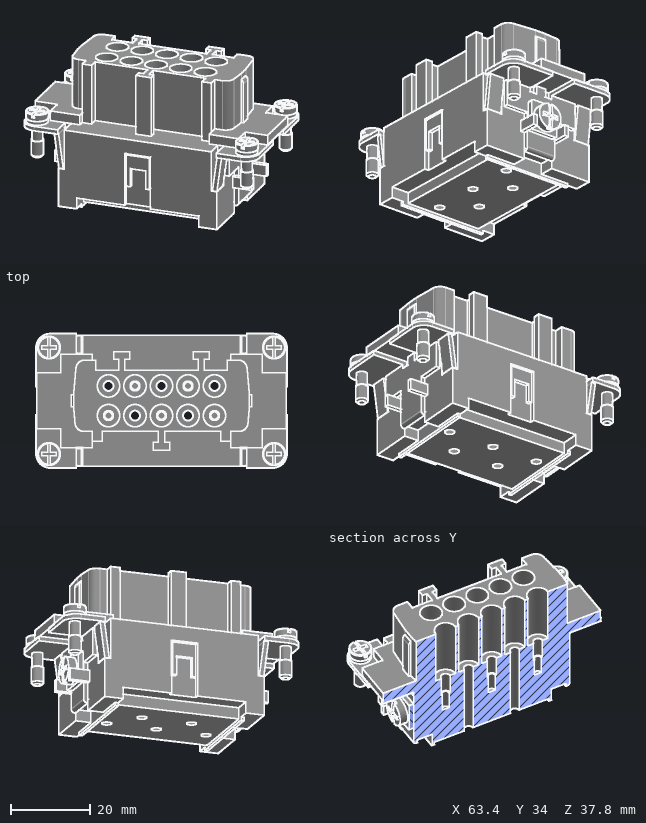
import cadquery as cq
import math

BLOCK_TOP = 21.0
SHELF_TOP = 23.6
TOWER_TOP = 36.95
FOOT_HEIGHT = 0.8
OVERLAP = 0.1

BLOCK_HALF_X = 21.5
BLOCK_HALF_Y = 16.55
FOOT_INNER_X = 16.55
FOOT_WIDTH = 0.8
FOOT_HALF_Y = 13.0
FOOT_OUTER_X = FOOT_INNER_X + FOOT_WIDTH
BOTTOM_NOTCH_HEIGHT = 3.0
BOTTOM_NOTCH_INNER_Y = 11.4
CORNER_NOTCH_X = 19.9
CORNER_NOTCH_Y = 11.7
CORNER_NOTCH_Z = 10.35

LATCH_HALF_WIDTH = 3.5
LATCH_TOP = 17.05
LATCH_DEPTH = 1.2
LATCH_GAP = 0.4
CATCH_DEPTH = 0.2
CATCH_BOTTOM = 8.1
CATCH_SLOT_HALF_WIDTH = 2.1
CATCH_SLOT_TOP = 13.05

SHELF_INNER_X = 17.5
SHELF_STEP_X = 25.5
SHELF_OUTER_X = 31.5
SHELF_HALF_Y = 11.8
SHELF_NOSE_HALF_Y = 7.05

SHEET = 1.2
FLANGE_OUTER_X = 31.7
FLANGE_HALF_Y = 17.0
FLANGE_CORNER = 3.7
FLANGE_NOTCH_HALF_Y = 3.5
FLANGE_BOTTOM = BLOCK_TOP - SHEET
STRIP_FACE_X = BLOCK_HALF_X + SHEET
STRIP_HALF_Y = 11.0
STRIP_SHOULDER_Z = 12.7
STEM_HALF_Y = 4.45
STEM_BOTTOM = 2.0
STEM_BEND = 0.95
RELIEF_INNER_Y = 1.45
RELIEF_BOTTOM = 18.75
FINGER_INNER_Y = 12.05
FINGER_OUTER_Y = 16.35
FINGER_SLANT = 1.25

ARM_TIP_X = 26.7
ARM_WIDTH = 1.2
ARM_BOTTOM = 7.35
ARM_TOP = CORNER_NOTCH_Z

SCREW_X = 28.4
SCREW_Y = 13.45
HEAD_RADIUS = 2.85
HEAD_TOP = 23.95
HEAD_CHAMFER = 0.2
WASHER_RADIUS = 2.8
WASHER_TOP = 22.0
NECK_RADIUS = 1.4
THREAD_RADIUS = 1.6
THREAD_TOP = 16.05
THREAD_BOTTOM = 12.05
TIP_RADIUS = 1.0
TIP_BOTTOM = 11.5
SLOT_WIDTH = 0.7
SLOT_DEPTH = 1.0
CROSS_LENGTH = 3.7
CROSS_WIDTH = 0.95

TOWER_TIP_X = 22.2
TOWER_BACK_Y = 10.3
TOWER_WALL_Y = 7.75
TOWER_BACK_STEP_X = 16.55
END_SLOPE = 0.088
END_FILLET = 2.3
PILLAR_INNER_X = 14.95
PILLAR_FRONT_Y = 10.2
KEY_FACE_X = 22.75
KEY_HALF_Y = 1.5
KEY_TOP = 35.25
KEY_ROUND_HEIGHT = 0.95

T_HEAD_HALF = 4.1 / 2
T_STEM_HALF = 0.75
T_TIP_Y = 12.4
T_HEAD_Y = 10.45
BACK_RIB_X = 10.0

CAVITY_ROW_LENGTH = 26.75
CAVITY_PITCH = CAVITY_ROW_LENGTH / 4
CAVITY_ROW_Y = 3.75
CAVITY_RADIUS = 5.65 / 2
CAVITY_FLOOR = BLOCK_TOP
CONTACT_RADIUS = 2.5 / 2
SOCKET_RADIUS = 0.95
SOCKET_STEP_Z = 15.2
SOCKET_FLOOR = 10.15

CLAMP_FACE_X = 23.95
CLAMP_HALF_Y = 8.2 / 2
CLAMP_BOTTOM = 7.55
CLAMP_TOP = 16.0
CLAMP_CORNER = 0.6
TERMINAL_Z = 11.55
TERMINAL_HEAD_RADIUS = 3.5
TERMINAL_NECK_RADIUS = 2.55
TERMINAL_HEAD_BASE_X = 24.15
TERMINAL_HEAD_RIM_X = 26.4
TERMINAL_HEAD_TIP_X = 26.7
TERMINAL_SLOT_WIDTH = 1.0
TERMINAL_SLOT_DEPTH = 1.0
TERMINAL_CROSS_LENGTH = 4.55


def box(x, y, z):
    """Box given by its (low, high) range along each axis."""
    return cq.Workplane("XY").box(
        x[1] - x[0], y[1] - y[0], z[1] - z[0], centered=False
    ).translate((x[0], y[0], z[0]))


def cylinder(x, y, radius, bottom, top):
    """Upright cylinder between two levels."""
    return cq.Workplane("XY", origin=(x, y, bottom)).circle(radius).extrude(top - bottom)


def both_sides(shape, plane):
    """The shape together with its mirror image."""
    return shape.union(shape.mirror(plane))


def make_block():
    """Lower block with its feet, bottom notches and corner notches."""
    block = box((-BLOCK_HALF_X, BLOCK_HALF_X), (-BLOCK_HALF_Y, BLOCK_HALF_Y), (0, BLOCK_TOP))
    bottom_notch = box(
        (-FOOT_INNER_X, FOOT_INNER_X), (-BLOCK_HALF_Y, -BOTTOM_NOTCH_INNER_Y), (0, BOTTOM_NOTCH_HEIGHT)
    )
    block = block.cut(both_sides(bottom_notch, "XZ"))
    stem_slot = box((-BLOCK_HALF_X, -FOOT_OUTER_X), (-STEM_HALF_Y, STEM_HALF_Y), (0, BOTTOM_NOTCH_HEIGHT))
    block = block.cut(both_sides(stem_slot, "YZ"))
    corner_notch = box(
        (-BLOCK_HALF_X, -CORNER_NOTCH_X), (-BLOCK_HALF_Y, -CORNER_NOTCH_Y), (CORNER_NOTCH_Z, BLOCK_TOP)
    )
    block = block.cut(both_sides(both_sides(corner_notch, "XZ"), "YZ"))
    foot = box((-FOOT_OUTER_X, -FOOT_INNER_X), (-FOOT_HALF_Y, FOOT_HALF_Y), (-FOOT_HEIGHT, OVERLAP))
    return block.union(both_sides(foot, "YZ"))


def make_latch_pocket():
    """Pocket in the -Y wall that leaves a raised catch, shaped like an upside-down U, on its floor."""
    floor_y = -BLOCK_HALF_Y + LATCH_DEPTH
    pocket = box(
        (-LATCH_HALF_WIDTH, LATCH_HALF_WIDTH), (-BLOCK_HALF_Y, floor_y), (BOTTOM_NOTCH_HEIGHT, LATCH_TOP)
    )
    catch_half = LATCH_HALF_WIDTH - LATCH_GAP
    catch_y = (-BLOCK_HALF_Y + CATCH_DEPTH, floor_y)
    catch = box((-catch_half, catch_half), catch_y, (CATCH_BOTTOM, LATCH_TOP - LATCH_GAP))
    slot = box((-CATCH_SLOT_HALF_WIDTH, CATCH_SLOT_HALF_WIDTH), catch_y, (CATCH_BOTTOM, CATCH_SLOT_TOP))
    return pocket.cut(catch.cut(slot))


def make_shelf():
    """Stepped plastic shelf at the -X end."""
    wide = box((-SHELF_STEP_X, -SHELF_INNER_X), (-SHELF_HALF_Y, SHELF_HALF_Y), (BLOCK_TOP, SHELF_TOP))
    nose = box(
        (-SHELF_OUTER_X, -SHELF_STEP_X), (-SHELF_NOSE_HALF_Y, SHELF_NOSE_HALF_Y), (BLOCK_TOP, SHELF_TOP)
    )
    return wide.union(nose)


def make_finger():
    """Slanted sheet finger that drops from the flange into a corner notch."""
    return (
        cq.Workplane("XZ", origin=(0, -FINGER_INNER_Y, 0))
        .moveTo(-STRIP_FACE_X, FLANGE_BOTTOM)
        .lineTo(-BLOCK_HALF_X, FLANGE_BOTTOM)
        .lineTo(-BLOCK_HALF_X + FINGER_SLANT, CORNER_NOTCH_Z)
        .lineTo(-STRIP_FACE_X + FINGER_SLANT, CORNER_NOTCH_Z)
        .close()
        .extrude(FINGER_OUTER_Y - FINGER_INNER_Y)
    )


def make_flange():
    """Flange, T-shaped strip, fingers and arms at the -X end."""
    plate = box(
        (-FLANGE_OUTER_X, -BLOCK_HALF_X), (-FLANGE_HALF_Y, FLANGE_HALF_Y), (FLANGE_BOTTOM, BLOCK_TOP)
    )
    plate = plate.edges("|Z and <X").fillet(FLANGE_CORNER)
    notch_y = (-FLANGE_NOTCH_HALF_Y, FLANGE_NOTCH_HALF_Y)
    plate = plate.cut(box((-FLANGE_OUTER_X, -STRIP_FACE_X), notch_y, (FLANGE_BOTTOM, BLOCK_TOP)))

    strip_x = (-STRIP_FACE_X, -BLOCK_HALF_X)
    bar = box(strip_x, (-STRIP_HALF_Y, STRIP_HALF_Y), (STRIP_SHOULDER_Z, FLANGE_BOTTOM))
    stem = box(strip_x, (-STEM_HALF_Y, STEM_HALF_Y), (STEM_BOTTOM, STRIP_SHOULDER_Z))
    stem = stem.edges("<X and <Z").fillet(STEM_BEND)
    relief = box(strip_x, (-FLANGE_NOTCH_HALF_Y, -RELIEF_INNER_Y), (RELIEF_BOTTOM, BLOCK_TOP))
    sheet = plate.union(bar).union(stem).cut(both_sides(relief, "XZ"))

    arm = box(
        (-ARM_TIP_X, -BLOCK_HALF_X), (-STEM_HALF_Y - ARM_WIDTH, -STEM_HALF_Y), (ARM_BOTTOM, ARM_TOP)
    )
    return sheet.union(both_sides(make_finger(), "XZ")).union(both_sides(arm, "XZ"))


def make_corner_screw(x, y):
    """Captive cross-slotted screw through a flange corner."""
    screw = cylinder(x, y, HEAD_RADIUS, WASHER_TOP, HEAD_TOP).faces(">Z").chamfer(HEAD_CHAMFER)
    slot_z = (HEAD_TOP - SLOT_DEPTH, HEAD_TOP)
    slot_x = (x - SLOT_WIDTH / 2, x + SLOT_WIDTH / 2)
    screw = screw.cut(box(slot_x, (y - HEAD_RADIUS, y + HEAD_RADIUS), slot_z))
    cross_x = (x - CROSS_LENGTH / 2, x + CROSS_LENGTH / 2)
    screw = screw.cut(box(cross_x, (y - CROSS_WIDTH / 2, y + CROSS_WIDTH / 2), slot_z))
    screw = screw.union(cylinder(x, y, WASHER_RADIUS, BLOCK_TOP, WASHER_TOP))
    screw = screw.union(cylinder(x, y, NECK_RADIUS, THREAD_TOP, BLOCK_TOP))
    screw = screw.union(cylinder(x, y, THREAD_RADIUS, THREAD_BOTTOM, THREAD_TOP))
    tip = (
        cq.Workplane("XY", origin=(x, y, TIP_BOTTOM))
        .circle(TIP_RADIUS)
        .workplane(offset=THREAD_BOTTOM - TIP_BOTTOM)
        .circle(THREAD_RADIUS)
        .loft()
    )
    return screw.union(tip)


def make_t_rib(x, side):
    """T-shaped guide rib on the +Y (side 1) or -Y (side -1) wall of the tower."""
    return (
        cq.Workplane("XY", origin=(x, 0, BLOCK_TOP))
        .moveTo(-T_STEM_HALF, side * (TOWER_WALL_Y - OVERLAP))
        .lineTo(-T_STEM_HALF, side * T_HEAD_Y)
        .lineTo(-T_HEAD_HALF, side * T_HEAD_Y)
        .lineTo(-T_HEAD_HALF, side * T_TIP_Y)
        .lineTo(T_HEAD_HALF, side * T_TIP_Y)
        .lineTo(T_HEAD_HALF, side * T_HEAD_Y)
        .lineTo(T_STEM_HALF, side * T_HEAD_Y)
        .lineTo(T_STEM_HALF, side * (TOWER_WALL_Y - OVERLAP))
        .close()
        .extrude(TOWER_TOP - BLOCK_TOP)
    )


def make_key():
    """Raised key with a rounded top on the -X end of the tower."""
    return (
        cq.Workplane("XZ", origin=(0, KEY_HALF_Y, 0))
        .moveTo(-TOWER_TIP_X + OVERLAP, SHELF_TOP)
        .lineTo(-KEY_FACE_X, SHELF_TOP)
        .lineTo(-KEY_FACE_X, KEY_TOP - KEY_ROUND_HEIGHT)
        .tangentArcPoint((-TOWER_TIP_X, KEY_TOP), relative=False)
        .lineTo(-TOWER_TIP_X + OVERLAP, KEY_TOP)
        .close()
        .extrude(2 * KEY_HALF_Y)
    )


def make_tower():
    """Contact tower with bowed ends, corner pillars, guide ribs and end keys."""
    back_corner_x = TOWER_TIP_X - END_SLOPE * (TOWER_BACK_Y - KEY_HALF_Y)
    front_corner_x = TOWER_TIP_X - END_SLOPE * (TOWER_WALL_Y - KEY_HALF_Y)
    half = (
        cq.Workplane("XY", origin=(0, 0, BLOCK_TOP))
        .moveTo(0, TOWER_WALL_Y)
        .lineTo(-TOWER_BACK_STEP_X, TOWER_WALL_Y)
        .lineTo(-TOWER_BACK_STEP_X, TOWER_BACK_Y)
        .lineTo(-back_corner_x, TOWER_BACK_Y)
        .lineTo(-TOWER_TIP_X, KEY_HALF_Y)
        .lineTo(-TOWER_TIP_X, -KEY_HALF_Y)
        .lineTo(-front_corner_x, -TOWER_WALL_Y)
        .lineTo(0, -TOWER_WALL_Y)
        .close()
        .extrude(TOWER_TOP - BLOCK_TOP)
    )
    for corner in ((-back_corner_x, TOWER_BACK_Y), (-front_corner_x, -TOWER_WALL_Y)):
        edge_middle = (*corner, (BLOCK_TOP + TOWER_TOP) / 2)
        half = half.edges(cq.NearestToPointSelector(edge_middle)).fillet(END_FILLET)
    tower = both_sides(half, "YZ")
    pillar = box(
        (-SHELF_INNER_X, -PILLAR_INNER_X), (-PILLAR_FRONT_Y, -TOWER_WALL_Y + OVERLAP), (BLOCK_TOP, TOWER_TOP)
    )
    tower = tower.union(both_sides(pillar, "YZ"))
    tower = tower.union(both_sides(make_key(), "YZ"))
    for x, side in ((-BACK_RIB_X, 1), (BACK_RIB_X, 1), (0, -1)):
        tower = tower.union(make_t_rib(x, side))
    return tower


def make_through_cavity(x, y):
    """Cavity whose contact bore runs down through the underside."""
    bore = cylinder(x, y, CONTACT_RADIUS, -FOOT_HEIGHT, CAVITY_FLOOR)
    return cylinder(x, y, CAVITY_RADIUS, CAVITY_FLOOR, TOWER_TOP).union(bore)


def make_socket_cavity(x, y):
    """Cavity whose contact bore is stepped and blind."""
    bore = cylinder(x, y, CONTACT_RADIUS, SOCKET_STEP_Z, CAVITY_FLOOR)
    socket = cylinder(x, y, SOCKET_RADIUS, SOCKET_FLOOR, SOCKET_STEP_Z)
    return cylinder(x, y, CAVITY_RADIUS, CAVITY_FLOOR, TOWER_TOP).union(bore).union(socket)


def make_housing():
    """Complete insert with flanges and captive screws."""
    housing = make_block().union(make_tower())
    housing = housing.union(both_sides(make_shelf(), "YZ"))
    housing = housing.union(both_sides(make_flange(), "YZ"))
    housing = housing.cut(both_sides(make_latch_pocket(), "XZ"))
    for x in (-SCREW_X, SCREW_X):
        for y in (-SCREW_Y, SCREW_Y):
            housing = housing.union(make_corner_screw(x, y))
    for column in range(-2, 3):
        for row in (-1, 1):
            x = column * CAVITY_PITCH
            y = row * CAVITY_ROW_Y
            is_through = (column % 2 == 0) == (row == 1)
            cavity = make_through_cavity(x, y) if is_through else make_socket_cavity(x, y)
            housing = housing.cut(cavity)
    return housing


def make_ground_terminal():
    """Ground screw with its square clamp plate, seated on the strip at the -X end."""
    clamp = box((-CLAMP_FACE_X, -STRIP_FACE_X), (-CLAMP_HALF_Y, CLAMP_HALF_Y), (CLAMP_BOTTOM, CLAMP_TOP))
    clamp = clamp.edges("|X").fillet(CLAMP_CORNER)
    screw_plane = cq.Workplane("YZ", origin=(-CLAMP_FACE_X, 0, TERMINAL_Z))
    neck = screw_plane.circle(TERMINAL_NECK_RADIUS).extrude(CLAMP_FACE_X - TERMINAL_HEAD_BASE_X)
    dome_height = TERMINAL_HEAD_TIP_X - TERMINAL_HEAD_RIM_X
    dome_radius = (TERMINAL_HEAD_RADIUS**2 + dome_height**2) / (2 * dome_height)
    half_radius = TERMINAL_HEAD_RADIUS / 2
    dome_sag = dome_radius - math.sqrt(dome_radius**2 - half_radius**2)
    dome_middle = (-TERMINAL_HEAD_TIP_X + dome_sag, half_radius)
    head = (
        cq.Workplane("XZ", origin=(0, 0, TERMINAL_Z))
        .moveTo(-TERMINAL_HEAD_BASE_X, 0)
        .lineTo(-TERMINAL_HEAD_BASE_X, TERMINAL_HEAD_RADIUS)
        .lineTo(-TERMINAL_HEAD_RIM_X, TERMINAL_HEAD_RADIUS)
        .threePointArc(dome_middle, (-TERMINAL_HEAD_TIP_X, 0))
        .close()
        .revolve(360, (0, 0), (1, 0))
    )
    slot_x = (-TERMINAL_HEAD_TIP_X, -TERMINAL_HEAD_TIP_X + TERMINAL_SLOT_DEPTH)
    half_slot = TERMINAL_SLOT_WIDTH / 2
    half_cross = TERMINAL_CROSS_LENGTH / 2
    slot = box(
        slot_x,
        (-half_slot, half_slot),
        (TERMINAL_Z - TERMINAL_HEAD_RADIUS, TERMINAL_Z + TERMINAL_HEAD_RADIUS),
    )
    cross = box(slot_x, (-half_cross, half_cross), (TERMINAL_Z - half_slot, TERMINAL_Z + half_slot))
    return clamp.union(neck).union(head.cut(slot).cut(cross))


housing = make_housing()
ground_terminal = make_ground_terminal()
result = cq.Compound.makeCompound([housing.solids().val(), ground_terminal.solids().val()])